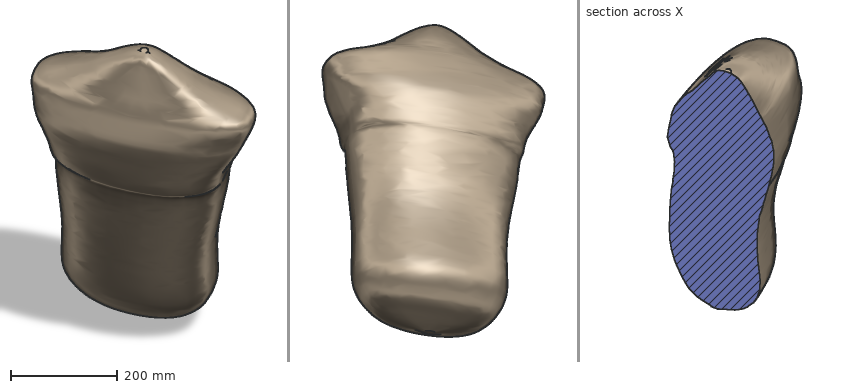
import cadquery as cq

HEIGHT = 629.0

BODY_SHAPE = (0.6, 0.93)
CHEST_SHAPE = (0.6, 1.35)
PEAK_SHAPE = (0.5, 1.0)
CHEST_BOTTOM = 377.5
CHEST_TOP = 478.0

STATIONS = [
    (0.0, 12.5, 20.0, -6.0, -13.0),
    (6.0, 45.0, 33.0, 11.0, -13.0),
    (25.0, 102.0, 66.0, 49.0, -12.5),
    (50.5, 130.0, 82.0, 70.0, -12.0),
    (88.0, 147.0, 98.0, 83.5, -11.5),
    (138.5, 149.0, 108.0, 82.5, -10.0),
    (214.0, 150.0, 108.0, 78.0, -9.0),
    (289.5, 160.0, 102.5, 85.5, -2.5),
    (346.0, 167.0, 98.0, 98.0, 4.0),
    (365.0, 168.0, 100.0, 102.0, 5.0),
    (384.0, 168.5, 109.0, 106.0, 6.0),
    (402.5, 172.0, 113.0, 109.0, 7.5),
    (428.0, 182.5, 111.0, 112.5, 9.5),
    (465.5, 201.5, 104.5, 113.0, 11.5),
    (497.0, 216.0, 94.0, 107.0, 11.5),
    (516.0, 218.0, 83.5, 100.0, 11.5),
    (528.5, 209.5, 76.0, 94.5, 11.0),
    (541.0, 180.5, 65.5, 87.5, 9.5),
    (553.5, 146.5, 56.0, 80.5, 7.5),
    (579.0, 96.0, 40.0, 68.0, 7.0),
    (604.0, 60.0, 22.5, 53.0, 10.0),
    (623.0, 23.0, 9.0, 38.0, 12.5),
    (HEIGHT, 7.5, -8.0, 22.0, 13.0),
]


def half_oval(half_width, crown, seam, height, side_rise, crown_spread):
    """Half oval from the +X seam to the -X seam, touching Y = crown midway."""
    depth = crown - seam
    crown_rise = (32 - 10 * side_rise) / 20
    side = seam + side_rise * depth
    top = seam + crown_rise * depth
    spread = crown_spread * half_width
    return [
        cq.Vector(half_width, seam, height),
        cq.Vector(half_width, side, height),
        cq.Vector(spread, top, height),
        cq.Vector(-spread, top, height),
        cq.Vector(-half_width, side, height),
        cq.Vector(-half_width, seam, height),
    ]


def section(height, half_width, front, back, seam):
    """Closed oval whose front and back halves meet smoothly at the side seams."""
    if height < CHEST_BOTTOM:
        shape = BODY_SHAPE
    elif height < CHEST_TOP:
        shape = CHEST_SHAPE
    else:
        shape = PEAK_SHAPE
    back_half = half_oval(half_width, back, seam, height, *shape)
    front_half = half_oval(half_width, -front, seam, height, *shape)
    edges = [cq.Edge.makeBezier(points) for points in (back_half, front_half[::-1])]
    return cq.Wire.assembleEdges(edges)


sections = [section(*station) for station in STATIONS]
body = cq.occ_impl.shapes.loft(sections, cap=True, parametrization="chordal", continuity="C1")
result = cq.Workplane(body)